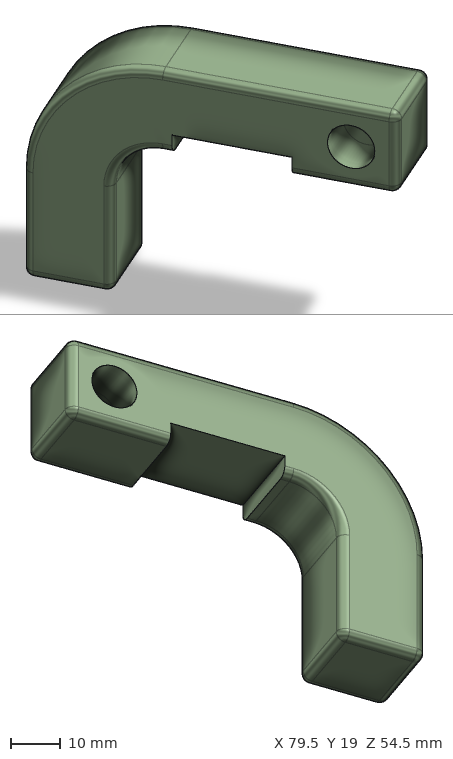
import cadquery as cq

length = 79.5
height = 54.5
section = 19.0
outer_bend_radius = 29.5
inner_bend_radius = outer_bend_radius - section
edge_radius = 2.0

hole_diameter = 10.0
hole_from_end = 10.0

notch_length = 25.45
notch_depth = 4.45
notch_from_end = 22.6

bend_x = outer_bend_radius
bend_z = height - outer_bend_radius
arm_bottom = height - section


def bent_bar():
    """Square bar with a quarter-circle bend, every outer edge rounded."""
    bar = (
        cq.Workplane("XZ")
        .lineTo(0, bend_z)
        .radiusArc((bend_x, height), outer_bend_radius)
        .lineTo(length, height)
        .lineTo(length, arm_bottom)
        .lineTo(bend_x, arm_bottom)
        .radiusArc((section, bend_z), -inner_bend_radius)
        .lineTo(section, 0)
        .close()
        .extrude(section / 2, both=True)
    )
    rounded_edges = bar.edges("#Y").add(bar.faces("<Z or >X").edges("|Y"))
    return bar.newObject(rounded_edges.vals()).fillet(edge_radius)


def cross_hole():
    """Through hole across the thickness, centred in the arm's height."""
    return (
        cq.Workplane("XZ")
        .center(length - hole_from_end, height - section / 2)
        .circle(hole_diameter / 2)
        .extrude(section, both=True)
    )


def underside_notch():
    """Rectangular notch across the full thickness, sharp-edged."""
    notch_x = length - notch_from_end - notch_length / 2
    return (
        cq.Workplane("XY", origin=(notch_x, 0, arm_bottom))
        .box(notch_length, 2 * section, 2 * notch_depth)
    )


result = bent_bar().cut(cross_hole()).cut(underside_notch())